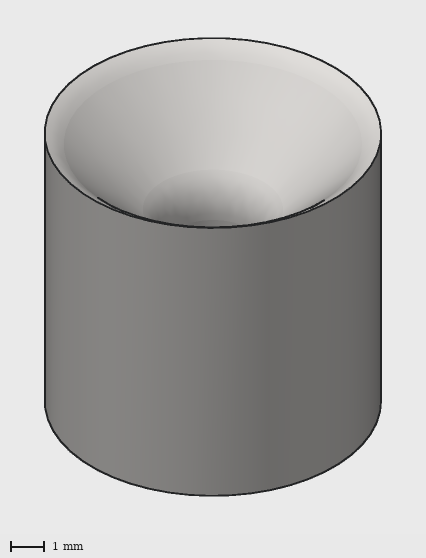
import cadquery as cq
import math

outer_radius = 5.0
height = 9.64
bore_radius = 1.5
blend_radius = 2.0
funnel_top_radius = 4.43
funnel_angle = math.radians(45)

blend_side = blend_radius * math.sin(funnel_angle)
blend_rise = blend_radius * math.cos(funnel_angle)
funnel_bottom_radius = bore_radius + blend_radius - blend_rise

rim_center_radius = funnel_top_radius + blend_rise
rim_offset = rim_center_radius - outer_radius
rim_center_z = height - math.sqrt(blend_radius**2 - rim_offset**2)
funnel_top_z = rim_center_z + blend_side

funnel_depth = (funnel_top_radius - funnel_bottom_radius) / math.tan(funnel_angle)
funnel_bottom_z = funnel_top_z - funnel_depth
bore_top_z = funnel_bottom_z - blend_side


def arc_point(center_radius, center_z, angle):
    """Point on a blend arc, with the angle measured up from the inward direction."""
    return (
        center_radius - blend_radius * math.cos(angle),
        center_z + blend_radius * math.sin(angle),
    )


bore_arc_middle = arc_point(bore_radius + blend_radius, bore_top_z, funnel_angle / 2)
rim_angle = math.acos(rim_offset / blend_radius)
rim_arc_middle = arc_point(rim_center_radius, rim_center_z, (funnel_angle + rim_angle) / 2)

section = (
    cq.Workplane("XZ")
    .moveTo(bore_radius, 0)
    .lineTo(bore_radius, bore_top_z)
    .threePointArc(bore_arc_middle, (funnel_bottom_radius, funnel_bottom_z))
    .lineTo(funnel_top_radius, funnel_top_z)
    .threePointArc(rim_arc_middle, (outer_radius, height))
    .lineTo(outer_radius, 0)
    .close()
)
result = section.revolve(360, (0, 0, 0), (0, 1, 0))